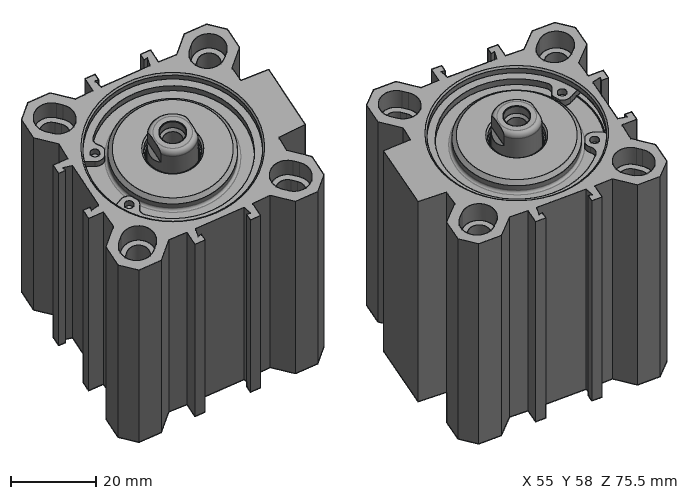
import cadquery as cq
import math

TOTAL_HEIGHT = 75.5
ROD_PROTRUSION = 6.0
HOUSING_TOP = TOTAL_HEIGHT - ROD_PROTRUSION

PAD_REACH = 27.5
PAD_CHAMFER = 3.6
PAD_INNER = 17.9
WAIST_DEPTH = 4.4
WALL_REACH = 23.25
RAIL_OUTER = 8.75
RAIL_REACH = 27.2
RAIL_HOOK_INNER = 6.05
RAIL_HOOK_THICKNESS = 1.9
RAIL_HOOK_ROOT = 1.65
RAIL_NECK_TIP = 7.0
RAIL_NECK_BASE = 6.5
PORT_REACH = 30.5
PORT_TIP_HALF_WIDTH = 9.05
PORT_BASE_HALF_WIDTH = 9.35

MOUNT_OFFSET = 20.45
MOUNT_STRETCH = 1.6
MOUNT_WIDTH = 5.7
MOUNT_BORE_WIDTH = 8.5
MOUNT_BORE_DEPTH = 5.8

RECESS_DIAMETER = 42.2
RECESS_CHAMFER = 0.45
RING_TOP_DEPTH = 2.05
RING_THICKNESS = 2.0
FLANGE_THICKNESS = 6.05
RING_TOP = HOUSING_TOP - RING_TOP_DEPTH
FLANGE_TOP = RING_TOP - RING_THICKNESS
RECESS_FLOOR = FLANGE_TOP - FLANGE_THICKNESS
GROOVE_DIAMETER = 44.7

FLANGE_DIAMETER = 41.7
BOSS_DIAMETER = 30.5
BOSS_TIP_DIAMETER = 28.4
BOSS_CHAMFER_HEIGHT = 1.0
BOSS_TOP_DEPTH = 0.7
BOSS_FOOT_FILLET = 0.75
BOSS_TOP = HOUSING_TOP - BOSS_TOP_DEPTH
COVER_HOLE_DIAMETER = 12.5
WIPER_DIAMETER = 13.7
WIPER_DEPTH = 2.3
WIPER_CHAMFER = 0.45
COVER_HOLE_CHAMFER = 0.2

RING_INNER_DIAMETER = 38.35
LUG_PITCH_RADIUS = 18.3
LUG_ANGLE = 27.6
LUG_RADIUS = 2.5
LUG_EYE_DIAMETER = 2.3
LUG_ROOT_FILLET = 2.0

ROD_DIAMETER = 12.0
ROD_TIP_FILLET = 1.35
FLAT_WIDTH = 10.0
FLAT_LENGTH = 4.6
THREAD_DIAMETER = 6.3
THREAD_MOUTH_CHAMFER = 0.15
THREAD_LENGTH = 2.5
THREAD_RUNOUT = 0.7
DRILL_DIAMETER = 4.9
DRILL_DEPTH = 11.3
DRILL_TIP_ANGLE = 118.0


def cylinder(diameter, bottom, top):
    return cq.Workplane("XY").workplane(offset=bottom).circle(diameter / 2).extrude(top - bottom)


def revolved(points):
    """Solid turned around Z from (radius, height) points."""
    return cq.Workplane("XZ").polyline(points).close().revolve(360, (0, 0), (0, 1))


def core_profile():
    """Walls and corner pads, built from one corner and turned four times."""
    waist_x = PAD_INNER - WAIST_DEPTH
    waist_y = PAD_REACH - WAIST_DEPTH
    corner = [
        (RAIL_OUTER, WALL_REACH),
        (waist_x, waist_y),
        (PAD_INNER, PAD_REACH),
        (PAD_REACH - PAD_CHAMFER, PAD_REACH),
    ]
    corner += [(y, x) for x, y in reversed(corner)]
    outline = []
    for _ in range(4):
        outline += corner
        corner = [(y, -x) for x, y in corner]
    return cq.Workplane("XY").polyline(outline).close().extrude(HOUSING_TOP)


def rail_pair():
    """Two hooked rails on the -Y wall, forming a sensor slot."""
    root = PAD_REACH - WAIST_DEPTH
    rail = (
        cq.Workplane("XY")
        .polyline([
            (RAIL_OUTER, -root),
            (RAIL_OUTER, -RAIL_REACH),
            (RAIL_HOOK_INNER, -RAIL_REACH),
            (RAIL_HOOK_INNER, RAIL_HOOK_THICKNESS - RAIL_REACH),
            (RAIL_NECK_TIP, RAIL_HOOK_ROOT - RAIL_REACH),
            (RAIL_NECK_BASE, -WALL_REACH),
            (RAIL_NECK_BASE, -root),
        ])
        .close()
        .extrude(HOUSING_TOP)
    )
    return rail.union(rail.mirror("YZ"))


def port_block():
    root = PAD_REACH - WAIST_DEPTH
    return (
        cq.Workplane("XY")
        .polyline([
            (-PORT_BASE_HALF_WIDTH, root),
            (PORT_BASE_HALF_WIDTH, root),
            (PORT_TIP_HALF_WIDTH, PORT_REACH),
            (-PORT_TIP_HALF_WIDTH, PORT_REACH),
        ])
        .close()
        .extrude(HOUSING_TOP)
    )


def mounting_hole(angle):
    """Stretched through hole and counterbore on the diagonal at the given angle."""
    def slot(width, bottom):
        return (
            cq.Workplane("XY")
            .workplane(offset=bottom)
            .center(MOUNT_OFFSET * math.sqrt(2), 0)
            .slot2D(MOUNT_STRETCH + width, width)
            .extrude(HOUSING_TOP - bottom)
        )

    hole = slot(MOUNT_WIDTH, 0).union(slot(MOUNT_BORE_WIDTH, HOUSING_TOP - MOUNT_BORE_DEPTH))
    return hole.rotate((0, 0, 0), (0, 0, 1), angle)


def cover_recess():
    """Round recess with a chamfered mouth and a groove for the snap ring."""
    radius = RECESS_DIAMETER / 2
    groove = GROOVE_DIAMETER / 2
    return revolved([
        (0, RECESS_FLOOR),
        (radius, RECESS_FLOOR),
        (radius, FLANGE_TOP),
        (groove, FLANGE_TOP),
        (groove, RING_TOP),
        (radius, RING_TOP),
        (radius, HOUSING_TOP - RECESS_CHAMFER),
        (radius + RECESS_CHAMFER, HOUSING_TOP),
        (0, HOUSING_TOP),
    ])


def make_housing():
    housing = core_profile().union(port_block())
    for wall_angle in (0, 90, -90):
        housing = housing.union(rail_pair().rotate((0, 0, 0), (0, 0, 1), wall_angle))
    for corner_angle in (45, 135, 225, 315):
        housing = housing.cut(mounting_hole(corner_angle))
    return housing.cut(cover_recess())


def make_cover():
    """Turned rod cover: flange, chamfered boss with a filleted foot, stepped rod hole."""
    hole = COVER_HOLE_DIAMETER / 2
    wiper = WIPER_DIAMETER / 2
    wiper_floor = BOSS_TOP - WIPER_DEPTH
    boss = BOSS_DIAMETER / 2
    foot_centre_radius = boss + BOSS_FOOT_FILLET
    foot_centre_height = FLANGE_TOP + BOSS_FOOT_FILLET
    foot_middle = BOSS_FOOT_FILLET * math.sqrt(0.5)
    return (
        cq.Workplane("XZ")
        .polyline([
            (hole, RECESS_FLOOR),
            (FLANGE_DIAMETER / 2, RECESS_FLOOR),
            (FLANGE_DIAMETER / 2, FLANGE_TOP),
            (foot_centre_radius, FLANGE_TOP),
        ])
        .threePointArc(
            (foot_centre_radius - foot_middle, foot_centre_height - foot_middle),
            (boss, foot_centre_height),
        )
        .polyline([
            (boss, BOSS_TOP - BOSS_CHAMFER_HEIGHT),
            (BOSS_TIP_DIAMETER / 2, BOSS_TOP),
            (wiper + WIPER_CHAMFER, BOSS_TOP),
            (wiper, BOSS_TOP - WIPER_CHAMFER),
            (wiper, wiper_floor),
            (hole + COVER_HOLE_CHAMFER, wiper_floor),
            (hole, wiper_floor - COVER_HOLE_CHAMFER),
        ], includeCurrent=True)
        .close()
        .revolve(360, (0, 0), (0, 1))
    )


def lug_root_point(side):
    """Point where a lug's round end meets the ring's inner edge, away from the gap."""
    inner = RING_INNER_DIAMETER / 2
    spread = math.acos(
        (inner**2 + LUG_PITCH_RADIUS**2 - LUG_RADIUS**2) / (2 * inner * LUG_PITCH_RADIUS)
    )
    angle = math.radians(LUG_ANGLE) + spread
    return (side * inner * math.sin(angle), -inner * math.cos(angle), FLANGE_TOP + RING_THICKNESS / 2)


def ring_gap():
    """Wedge on the -Y side that ends at the middle of each lug."""
    half_width = GROOVE_DIAMETER * math.tan(math.radians(LUG_ANGLE))
    return (
        cq.Workplane("XY")
        .workplane(offset=FLANGE_TOP)
        .polyline([(0, 0), (half_width, -GROOVE_DIAMETER), (-half_width, -GROOVE_DIAMETER)])
        .close()
        .extrude(RING_THICKNESS)
    )


def make_snap_ring():
    """Open ring with two eyed, round-ended lugs beside its gap."""
    disc = cylinder(GROOVE_DIAMETER, FLANGE_TOP, RING_TOP)
    ring = disc.cut(cylinder(RING_INNER_DIAMETER, FLANGE_TOP, RING_TOP)).cut(ring_gap())

    strap = (
        cq.Workplane("XY")
        .workplane(offset=FLANGE_TOP)
        .center(0, -LUG_PITCH_RADIUS - LUG_RADIUS)
        .rect(2 * LUG_RADIUS, 2 * LUG_RADIUS)
        .extrude(RING_THICKNESS)
    )
    eye_place = (0, -LUG_PITCH_RADIUS, 0)
    lug = cylinder(2 * LUG_RADIUS, FLANGE_TOP, RING_TOP).translate(eye_place).union(strap).intersect(disc)
    eye = cylinder(LUG_EYE_DIAMETER, FLANGE_TOP, RING_TOP).translate(eye_place)

    for side in (-1, 1):
        turn = ((0, 0, 0), (0, 0, 1), side * LUG_ANGLE)
        ring = ring.union(lug.rotate(*turn))
        root = cq.selectors.NearestToPointSelector(lug_root_point(side))
        ring = ring.edges("|Z").edges(root).fillet(LUG_ROOT_FILLET)
        ring = ring.cut(eye.rotate(*turn))

    return ring.cut(cylinder(BOSS_DIAMETER + 2 * BOSS_FOOT_FILLET, FLANGE_TOP, RING_TOP))


def rod_bore():
    """Wider threaded mouth, then a drilled hole with a conical end."""
    drill = DRILL_DIAMETER / 2
    thread = THREAD_DIAMETER / 2
    tip_length = drill / math.tan(math.radians(DRILL_TIP_ANGLE / 2))
    drill_end = TOTAL_HEIGHT - DRILL_DEPTH
    thread_end = TOTAL_HEIGHT - THREAD_LENGTH
    return revolved([
        (0, drill_end - tip_length),
        (drill, drill_end),
        (drill, thread_end - THREAD_RUNOUT),
        (thread, thread_end),
        (thread, TOTAL_HEIGHT - THREAD_MOUTH_CHAMFER),
        (thread + THREAD_MOUTH_CHAMFER, TOTAL_HEIGHT),
        (0, TOTAL_HEIGHT),
    ])


def wrench_flat():
    """Cut for the flat on the -Y side, running out at 45 degrees."""
    inner = FLAT_WIDTH / 2
    outer = ROD_DIAMETER
    flat_end = TOTAL_HEIGHT - FLAT_LENGTH
    return (
        cq.Workplane("YZ")
        .polyline([
            (-inner, TOTAL_HEIGHT),
            (-inner, flat_end),
            (-outer, flat_end - (outer - inner)),
            (-outer, TOTAL_HEIGHT),
        ])
        .close()
        .extrude(ROD_DIAMETER, both=True)
    )


def make_rod():
    rod = cylinder(ROD_DIAMETER, RECESS_FLOOR, TOTAL_HEIGHT)
    rod = rod.faces(">Z").edges().fillet(ROD_TIP_FILLET)
    flat = wrench_flat()
    return rod.cut(flat).cut(flat.mirror("XZ")).cut(rod_bore())


housing = make_housing()
cover = make_cover()
snap_ring = make_snap_ring()
rod = make_rod()

bodies = [housing, cover, snap_ring, rod]
result = cq.Compound.makeCompound([body.solids().val() for body in bodies])